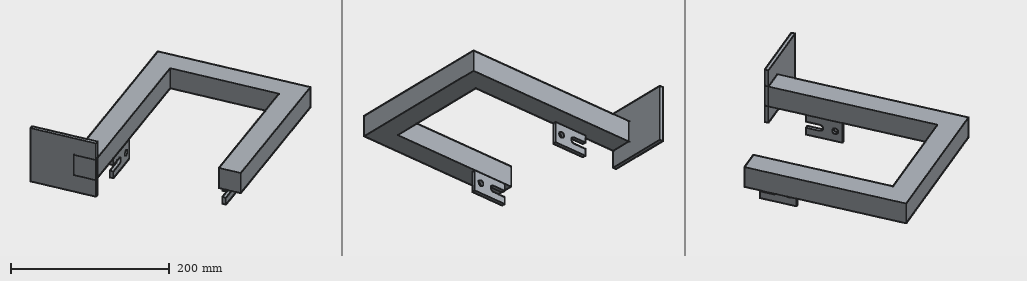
import cadquery as cq

overall_x = 269.7
overall_y = 265.0
overall_z = 85.0

bar = 30.2
frame_width = 210.0
short_arm_length = 220.0

plate_width = 90.0
plate_height = 79.8
plate_thickness = 5.0

tab_length = 50.0
tab_height = 30.0
tab_thickness = 5.0
tab_front_setback = 10.8
hole_diameter = 8.0
hole_from_back = 10.0
slot_width = 9.2
slot_depth = 23.5

frame_left = overall_x - frame_width
long_arm_inner = frame_left + bar
short_arm_inner = overall_x - bar
short_arm_front = overall_y - short_arm_length
frame_bottom = tab_height
plate_bottom = overall_z - plate_height
tab_front = short_arm_front + tab_front_setback
tab_back = tab_front + tab_length
tab_mid_z = tab_height / 2


def box_at(x, y, z, length, width, height):
    """Box whose lowest corner is at (x, y, z)."""
    return cq.Workplane("XY").box(length, width, height, centered=False).translate((x, y, z))


def make_frame():
    """U-shaped bar whose long arm reaches the front face of the plate."""
    outline = [
        (frame_left, 0),
        (frame_left, overall_y),
        (overall_x, overall_y),
        (overall_x, short_arm_front),
        (short_arm_inner, short_arm_front),
        (short_arm_inner, overall_y - bar),
        (long_arm_inner, overall_y - bar),
        (long_arm_inner, 0),
    ]
    return cq.Workplane("XY").workplane(offset=frame_bottom).polyline(outline).close().extrude(bar)


def make_plate():
    """End plate with a square opening filled by the long arm."""
    blank = box_at(0, 0, plate_bottom, plate_width, plate_thickness, plate_height)
    opening = box_at(frame_left, 0, frame_bottom, bar, plate_thickness, bar)
    return blank.cut(opening)


def make_tab(left):
    """Tab with a round hole and a round-ended slot open to the front."""
    slot_radius = slot_width / 2
    slot_center_y = tab_front + slot_depth - slot_radius
    side = cq.Workplane("YZ").workplane(offset=left)
    body = box_at(left, tab_front, 0, tab_thickness, tab_length, tab_height)
    hole = side.center(tab_back - hole_from_back, tab_mid_z).circle(hole_diameter / 2).extrude(tab_thickness)
    slot = (
        side.moveTo(tab_front, tab_mid_z - slot_radius)
        .lineTo(slot_center_y, tab_mid_z - slot_radius)
        .threePointArc((tab_front + slot_depth, tab_mid_z), (slot_center_y, tab_mid_z + slot_radius))
        .lineTo(tab_front, tab_mid_z + slot_radius)
        .close()
        .extrude(tab_thickness)
    )
    return body.cut(hole).cut(slot)


frame = make_frame()
plate = make_plate()

tab_lefts = [long_arm_inner - tab_thickness, short_arm_inner]
tabs = [make_tab(left) for left in tab_lefts]

result = cq.Compound.makeCompound([frame.val(), plate.val(), *[tab.val() for tab in tabs]])